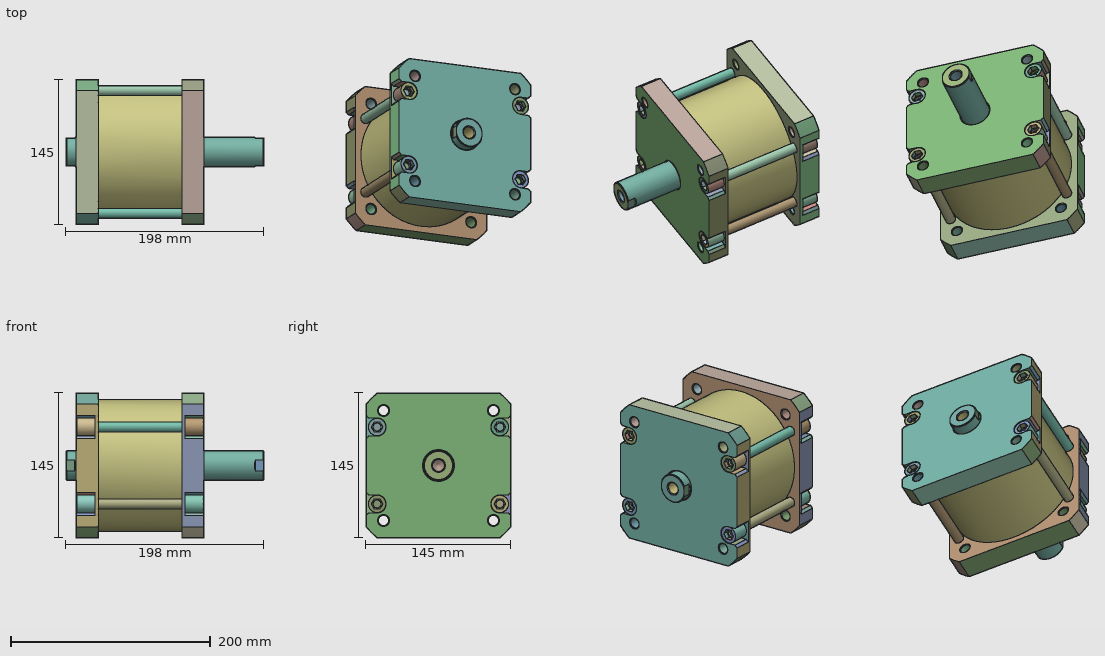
import cadquery as cq
import math


overall_length = 198.0
cap_thickness = 22.2
barrel_length = 83.5
left_rod_reach = 10.0
cap_outer_x = barrel_length / 2 + cap_thickness
rod_start_x = -cap_outer_x - left_rod_reach

barrel_diameter = 132.7

cap_side = 145.0
cap_corner_diameter = 190.0
rod_bore_chamfer = 1.0

mount_spacing = 110.0
mount_hole_diameter = 10.3
mount_hole_chamfer = 0.8

tie_spacing_y = 123.0
tie_spacing_z = 77.0
tie_diameter = 10.0
head_diameter = 17.5
head_setback = 0.5
socket_width = 10.0
socket_depth = 5.0
socket_bore_diameter = 8.0
socket_bore_depth = 8.0
slot_width = 18.0
slot_depth = 19.0
slot_mouth_chamfer = 2.5

rod_diameter = 29.9
rod_end_chamfer = 0.8
rod_flat_width = 27.7
rod_flat_length = 8.3
rod_hole_diameter = 11.9
rod_hole_chamfer = 1.0
rod_hole_depth = 23.8
drill_point_angle = 118.0

SIDES = (-1, 1)
LENGTH_TOLERANCE = 0.0002
TIE_POINTS = [(y * tie_spacing_y / 2, z * tie_spacing_z / 2) for y in SIDES for z in SIDES]


def plane_at(x):
    """Workplane across the rod axis: local x is Y, local y is Z, extrusions go to +X."""
    return cq.Workplane("YZ", origin=(x, 0, 0))


def mirrored_to(side, left_shape):
    """A shape made for the -X end, mirrored when the +X end is wanted."""
    return left_shape if side < 0 else left_shape.mirror("YZ")


def hole_with_chamfers(diameter, chamfer):
    """Cutter for a round hole through the -X cap, chamfered at both faces, on the rod axis."""
    radius = diameter / 2
    mouth = radius + chamfer
    inner_x = -barrel_length / 2
    return (
        cq.Workplane("XY")
        .moveTo(-cap_outer_x, 0)
        .lineTo(-cap_outer_x, mouth)
        .lineTo(-cap_outer_x + chamfer, radius)
        .lineTo(inner_x - chamfer, radius)
        .lineTo(inner_x, mouth)
        .lineTo(inner_x, 0)
        .close()
        .revolve(360, (0, 0, 0), (1, 0, 0))
    )


def head_slot(y, z):
    """Cutter for a round-bottomed slot from a tie rod out through the nearest Y side."""
    outward = math.copysign(1, y)
    run = cap_side / 2 - abs(y)
    pocket = plane_at(-cap_outer_x).center(y, z).circle(slot_width / 2).extrude(slot_depth)
    mouth = plane_at(-cap_outer_x).center(y + outward * run / 2, z).rect(run, slot_width)
    return pocket.union(mouth.extrude(slot_depth))


def is_slot_mouth_edge(edge):
    """True for an edge where a head slot opens into a Y side of the cap."""
    at_side = math.isclose(abs(edge.Center().y), cap_side / 2, abs_tol=LENGTH_TOLERANCE)
    return at_side and math.isclose(edge.Length(), slot_depth, abs_tol=LENGTH_TOLERANCE)


def make_cap(side):
    cap = plane_at(-cap_outer_x).rect(cap_side, cap_side).extrude(cap_thickness)
    cap = cap.intersect(plane_at(-cap_outer_x).circle(cap_corner_diameter / 2).extrude(cap_thickness))

    for y, z in TIE_POINTS:
        cap = cap.cut(head_slot(y, z))
    cap = cap.edges("|X").filter(is_slot_mouth_edge).chamfer(slot_mouth_chamfer)
    tie_holes = plane_at(-cap_outer_x).pushPoints(TIE_POINTS).circle(tie_diameter / 2)
    cap = cap.cut(tie_holes.extrude(cap_thickness))

    mount_hole = hole_with_chamfers(mount_hole_diameter, mount_hole_chamfer)
    for y in SIDES:
        for z in SIDES:
            cap = cap.cut(mount_hole.translate((0, y * mount_spacing / 2, z * mount_spacing / 2)))

    cap = cap.cut(hole_with_chamfers(rod_diameter, rod_bore_chamfer))
    return mirrored_to(side, cap)


def make_barrel():
    ring = plane_at(-barrel_length / 2).circle(barrel_diameter / 2).circle(rod_diameter / 2)
    return ring.extrude(barrel_length)


def tie_rod_head(side):
    start_x = -cap_outer_x + head_setback
    length = slot_depth - head_setback
    socket_corner_diameter = socket_width / math.cos(math.pi / 6)
    head = plane_at(start_x).circle(head_diameter / 2).extrude(length)
    head = head.cut(plane_at(start_x).polygon(6, socket_corner_diameter).extrude(socket_depth))
    head = head.cut(plane_at(start_x).circle(socket_bore_diameter / 2).extrude(socket_bore_depth))
    return mirrored_to(side, head)


def make_tie_rod(y, z):
    shank_end_x = cap_outer_x - slot_depth
    tie_rod = plane_at(-shank_end_x).circle(tie_diameter / 2).extrude(2 * shank_end_x)
    for side in SIDES:
        tie_rod = tie_rod.union(tie_rod_head(side))
    return tie_rod.translate((0, y, z))


def rod_end_hole():
    """Cutter for a chamfered blind hole with a drill point, starting at X = 0 and going to +X."""
    radius = rod_hole_diameter / 2
    point_length = radius / math.tan(math.radians(drill_point_angle / 2))
    return (
        cq.Workplane("XY")
        .lineTo(0, radius + rod_hole_chamfer)
        .lineTo(rod_hole_chamfer, radius)
        .lineTo(rod_hole_depth, radius)
        .lineTo(rod_hole_depth + point_length, 0)
        .close()
        .revolve(360, (0, 0, 0), (1, 0, 0))
    )


def wrench_flat():
    """Cutter for one wrench flat on the +Y side, starting at X = 0, with a 45 degree run-out."""
    flat_y = rod_flat_width / 2
    rise = rod_diameter / 2 - flat_y
    return (
        cq.Workplane("XY", origin=(0, 0, -rod_diameter / 2))
        .moveTo(0, flat_y)
        .lineTo(rod_flat_length, flat_y)
        .lineTo(rod_flat_length + rise, flat_y + rise)
        .lineTo(0, flat_y + rise)
        .close()
        .extrude(rod_diameter)
    )


def make_piston_rod():
    rod = plane_at(0).circle(rod_diameter / 2).extrude(overall_length)
    rod = rod.faces("<X or >X").chamfer(rod_end_chamfer)
    flat = wrench_flat()
    end_cutter = rod_end_hole().union(flat).union(flat.mirror("XZ"))
    rod = rod.cut(end_cutter)
    rod = rod.cut(end_cutter.mirror("YZ").translate((overall_length, 0, 0)))
    return rod.translate((rod_start_x, 0, 0))


caps = [make_cap(side) for side in SIDES]
barrel = make_barrel()
tie_rods = [make_tie_rod(y, z) for y, z in TIE_POINTS]
piston_rod = make_piston_rod()

result = cq.Compound.makeCompound(
    [cap.val() for cap in caps]
    + [barrel.val(), piston_rod.val()]
    + [tie_rod.val() for tie_rod in tie_rods]
)